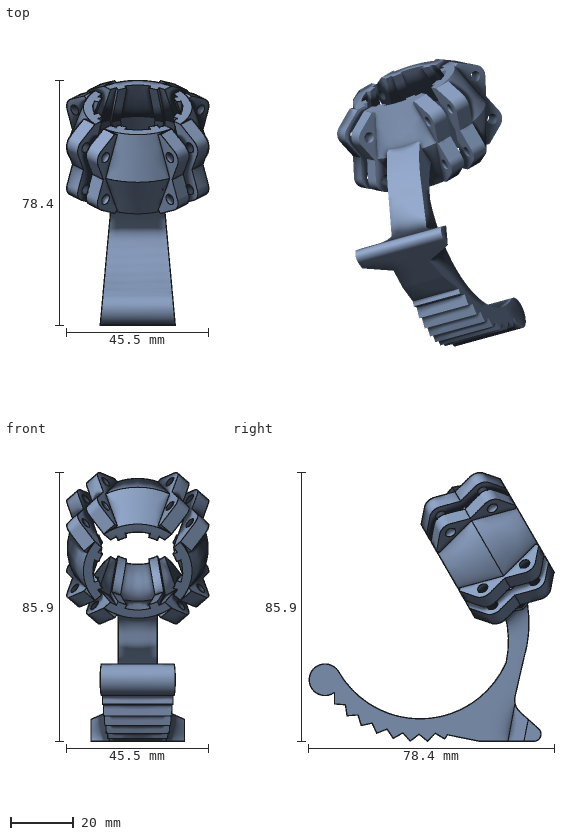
import cadquery as cq
import math

RING_TILT = 30.0

HALF_LENGTH = 14.6
OUTER_END_RADIUS = 17.4
OUTER_EQUATOR_RADIUS = 22.5
WALL = 3.0

RIB_HEIGHT = 1.5
RIB_WIDTH = 3.0
RIB_ANGLE = 22.5

CLAMP_ANGLES = (0, 90, 270)
HOOK_SEGMENT_ANGLE = 180

HALF_GAP = 2.0
FLANGE_THICKNESS = 5.0
BOLT_RADIAL = 21.5
BOLT_AXIAL = 7.7
BOLT_DIAMETER = 3.4
LOBE_RADIUS = 3.7
FLANGE_ROOT_END = (15.9, 13.9)
FLANGE_ROOT_RADIUS = 19.8

THROAT_CENTRE = (21.6, -24.5)
THROAT_RADIUS = 30.0
THROAT_START_ANGLE = 203.7
BALL_RADIUS = 5.1
BALL_ANGLE = -30.0
FLOOR = -61.7
TOOTH_COUNT = 8
TOOTH_PITCH = 8.5
FIRST_TOOTH_ANGLE = -102.2
TOOTH_TIP_RADIUS = 37.3
TOOTH_ROOT_RADIUS = 35.0
RAMP_START = 2.6
RAMP_END = (12.8, -59.7)
TOE_RADIUS = 2.3
TOE_CENTRE_FORWARD = -14.8
INSTEP_SLOPE = 42.0
HEEL_TOP = (-8.9, -46.9)
HEEL_MIDDLE = (-9.0, -50.3)
HEEL_BOTTOM = (-10.4, -52.4)
NECK_BACK_BOTTOM = (-11.5, -35.6)
NECK_BACK_MIDDLE = (-13.2, -24.9)
NECK_FRONT_MIDDLE = (-6.6, -28.4)

NECK_SINK = 0.9
NECK_BACK_AXIAL = -2.6
NECK_FRONT_AXIAL = 5.5

TIP_HALF_WIDTH = 12.0
SIDE_TAPER = 5.2

FOOT_HALF_WIDTH = 15.0
FOOT_TILT = 11.0
FOOT_HEIGHT = 15.05
FLARE_ANGLE = 30.0
FLARE_APEX = -2.8
FOOT_BACK = -21.5


def polar(centre, radius, angle):
    """Point at a radius and an angle in degrees around a centre."""
    turn = math.radians(angle)
    return (centre[0] + radius * math.cos(turn), centre[1] + radius * math.sin(turn))


BALL_CENTRE = polar(THROAT_CENTRE, THROAT_RADIUS + BALL_RADIUS, BALL_ANGLE)


def tangent_angle(point, centre, radius, side):
    """Direction from a circle's centre to where a line from the point touches the circle."""
    to_point = math.atan2(point[1] - centre[1], point[0] - centre[0])
    opening = math.acos(radius / math.dist(point, centre))
    return math.degrees(to_point + side * opening)


def double_cone(inward):
    """Solid double cone, a radial distance inside the outer surface of the ring."""
    end = OUTER_END_RADIUS - inward
    equator = OUTER_EQUATOR_RADIUS - inward
    outline = [(0, -HALF_LENGTH), (end, -HALF_LENGTH), (equator, 0), (end, HALF_LENGTH), (0, HALF_LENGTH)]
    return cq.Workplane("XZ").polyline(outline).close().revolve(360, (0, 0, 0), (0, 1, 0))


def segment_wall():
    """Quarter of the ring wall around +Y, set back by half the gap on both edges."""
    reach = 2 * OUTER_EQUATOR_RADIUS
    apex = HALF_GAP * math.sqrt(2)
    quarter = (
        cq.Workplane("XY")
        .polyline([(0, apex), (reach, apex + reach), (-reach, apex + reach)])
        .close()
        .extrude(HALF_LENGTH, both=True)
    )
    return double_cone(0).cut(double_cone(WALL)).intersect(quarter)


def segment_ribs():
    """Two lengthwise ribs that stand on the inner surface of a segment."""
    bar = cq.Workplane("XY").box(
        RIB_WIDTH, OUTER_EQUATOR_RADIUS, 2 * HALF_LENGTH, centered=(True, False, True)
    )
    bars = bar.rotate((0, 0, 0), (0, 0, 1), RIB_ANGLE).union(bar.rotate((0, 0, 0), (0, 0, 1), -RIB_ANGLE))
    return double_cone(WALL / 2).cut(double_cone(WALL + RIB_HEIGHT)).intersect(bars)


def flange():
    """Two-lobed flange with a bolt hole in each lobe, on the +X edge of a segment."""
    notch = (OUTER_EQUATOR_RADIUS, 0)
    tip = (OUTER_END_RADIUS, HALF_LENGTH)
    bolt = (BOLT_RADIAL, BOLT_AXIAL)
    near = tangent_angle(notch, bolt, LOBE_RADIUS, 1)
    far = tangent_angle(tip, bolt, LOBE_RADIUS, -1)
    edge = cq.Plane(
        origin=(-HALF_GAP / math.sqrt(2), HALF_GAP / math.sqrt(2), 0), xDir=(1, 1, 0), normal=(-1, 1, 0)
    )
    lobe = (
        cq.Workplane(edge)
        .moveTo(FLANGE_ROOT_RADIUS, 0)
        .lineTo(*notch)
        .lineTo(*polar(bolt, LOBE_RADIUS, near))
        .threePointArc(polar(bolt, LOBE_RADIUS, (near + far) / 2), polar(bolt, LOBE_RADIUS, far))
        .lineTo(*tip)
        .lineTo(*FLANGE_ROOT_END)
        .close()
        .extrude(FLANGE_THICKNESS)
    )
    holes = (
        cq.Workplane(edge)
        .pushPoints([(BOLT_RADIAL, BOLT_AXIAL), (BOLT_RADIAL, -BOLT_AXIAL)])
        .circle(BOLT_DIAMETER / 2)
        .extrude(FLANGE_THICKNESS)
    )
    return lobe.union(lobe.mirror("XY")).cut(holes)


def clamp_segment(angle):
    """One ring segment, turned around the ring axis and placed on the tilted axis."""
    edge_flange = flange()
    segment = segment_wall().union(segment_ribs()).union(edge_flange).union(edge_flange.mirror("YZ"))
    tilt = math.radians(RING_TILT)
    ring_plane = cq.Plane(origin=(0, 0, 0), xDir=(1, 0, 0), normal=(0, -math.cos(tilt), -math.sin(tilt)))
    turned = segment.rotate((0, 0, 0), (0, 0, 1), angle)
    return cq.Workplane(turned.val().moved(cq.Location(ring_plane)))


def tooth_points():
    """Tips and roots of the teeth under the hook, from back to front."""
    points = []
    for tooth in range(TOOTH_COUNT):
        angle = FIRST_TOOTH_ANGLE + tooth * TOOTH_PITCH
        points.append(polar(THROAT_CENTRE, TOOTH_TIP_RADIUS, angle))
        points.append(polar(THROAT_CENTRE, TOOTH_ROOT_RADIUS, angle + TOOTH_PITCH / 2))
    return points


def sunk_ring_point(axial):
    """Hook coordinates of a point sunk into the lowest line of the ring, at a place along the ring axis."""
    tilt = math.radians(RING_TILT)
    cone_slope = (OUTER_EQUATOR_RADIUS - OUTER_END_RADIUS) / HALF_LENGTH
    radius = OUTER_EQUATOR_RADIUS - cone_slope * abs(axial) - NECK_SINK
    forward = axial * math.cos(tilt) - radius * math.sin(tilt)
    up = -axial * math.sin(tilt) - radius * math.cos(tilt)
    return (forward, up)


def hook_side(half_width):
    """Side outline of neck, throat, teeth and foot, extruded evenly to both sides."""
    toe = (TOE_CENTRE_FORWARD, FLOOR + TOE_RADIUS)
    toe_top_angle = 90 + INSTEP_SLOPE
    side = cq.Plane(origin=(0, 0, 0), xDir=(0, -1, 0), normal=(-1, 0, 0))
    outline = (
        cq.Workplane(side)
        .moveTo(*sunk_ring_point(0))
        .lineTo(*sunk_ring_point(NECK_BACK_AXIAL))
        .threePointArc(NECK_BACK_MIDDLE, NECK_BACK_BOTTOM)
        .lineTo(*HEEL_TOP)
        .threePointArc(HEEL_MIDDLE, HEEL_BOTTOM)
        .lineTo(*polar(toe, TOE_RADIUS, toe_top_angle))
        .threePointArc(polar(toe, TOE_RADIUS, (toe_top_angle + 270) / 2), polar(toe, TOE_RADIUS, 270))
        .lineTo(RAMP_START, FLOOR)
        .lineTo(*RAMP_END)
    )
    for point in tooth_points():
        outline = outline.lineTo(*point)
    profile = (
        outline.lineTo(*BALL_CENTRE)
        .lineTo(*polar(THROAT_CENTRE, THROAT_RADIUS, BALL_ANGLE))
        .threePointArc(
            polar(THROAT_CENTRE, THROAT_RADIUS, 270), polar(THROAT_CENTRE, THROAT_RADIUS, THROAT_START_ANGLE)
        )
        .threePointArc(NECK_FRONT_MIDDLE, sunk_ring_point(NECK_FRONT_AXIAL))
        .close()
        .extrude(half_width, both=True)
    )
    ball = cq.Workplane(side).center(*BALL_CENTRE).circle(BALL_RADIUS).extrude(half_width, both=True)
    return profile.union(ball)


def bevel_neck_end(body):
    """Chamfer the side edges of the neck end, so that the neck narrows where it enters the ring."""
    lowest = sunk_ring_point(NECK_FRONT_AXIAL)[1] - NECK_SINK
    for side in (-1, 1):
        beside_neck = cq.selectors.BoxSelector(
            (side * NECK_SINK, -TIP_HALF_WIDTH, lowest), (side * TIP_HALF_WIDTH, 2 * TIP_HALF_WIDTH, 0)
        )
        body = body.edges(beside_neck).chamfer(NECK_SINK)
    return body


def hook():
    """Hook whose flat sides spread apart from the neck to the ball."""
    front = BALL_CENTRE[0] + BALL_RADIUS
    back_half_width = TIP_HALF_WIDTH - (front - FOOT_BACK) * math.tan(math.radians(SIDE_TAPER))
    plan = (
        cq.Workplane("XY", origin=(0, 0, FLOOR))
        .polyline(
            [
                (-TIP_HALF_WIDTH, -front),
                (TIP_HALF_WIDTH, -front),
                (back_half_width, -FOOT_BACK),
                (-back_half_width, -FOOT_BACK),
            ]
        )
        .close()
        .extrude(-FLOOR)
    )
    return bevel_neck_end(hook_side(TIP_HALF_WIDTH).intersect(plan))


def foot():
    """Flared foot behind the heel, bounded by sides that lean back as they rise."""
    lean = math.radians(FOOT_TILT)
    flare_depth = FOOT_HALF_WIDTH * math.tan(math.radians(FLARE_ANGLE))
    depth = FLARE_APEX - FOOT_BACK
    leaning = cq.Plane(
        origin=(0, -FLARE_APEX, FLOOR), xDir=(1, 0, 0), normal=(0, math.sin(lean), math.cos(lean))
    )
    wedge = (
        cq.Workplane(leaning)
        .polyline(
            [
                (0, 0),
                (FOOT_HALF_WIDTH, flare_depth),
                (FOOT_HALF_WIDTH, depth),
                (-FOOT_HALF_WIDTH, depth),
                (-FOOT_HALF_WIDTH, flare_depth),
            ]
        )
        .close()
        .extrude(FOOT_HEIGHT)
    )
    return hook_side(FOOT_HALF_WIDTH).intersect(wedge)


def hook_segment():
    """Bottom ring segment with the hook and its foot grown onto it."""
    return clamp_segment(HOOK_SEGMENT_ANGLE).union(hook()).union(foot())


clamps = [clamp_segment(angle) for angle in CLAMP_ANGLES]
hooked_clamp = hook_segment()

result = cq.Compound.makeCompound([*[clamp.val() for clamp in clamps], hooked_clamp.val()])